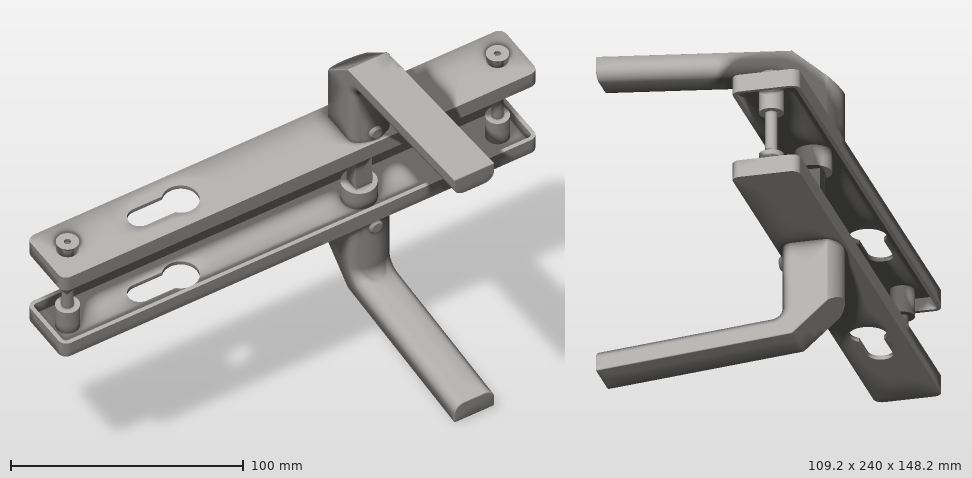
import cadquery as cq
import math


plate_length = 240.0
plate_width = 30.0
plate_height = 8.0
plate_corner_radius = 3.8
plate_wall = 2.0
plate_gap = 32.5
rim_z = plate_gap / 2
face_z = rim_z + plate_height
floor_z = face_z - plate_wall

post_diameter = 10.8
post_projection = 6.5
post_end_z = rim_z - post_projection
screw_y = 108.5

keyhole_y = -51.4
keyhole_radius = 8.2
keyhole_slot_width = 11.0
keyhole_bottom_y = -77.5

spindle_y = 38.6
spindle_side = 8.0
spindle_half_length = 33.5

overall_width = 109.2
overall_height = 148.3
tip_x = overall_width - plate_width / 2
tip_z = overall_height / 2
handle_width = 20.2
shank_radius = 13.5
nose_width = 15.0
shoulder_z = 49.0
bend_x = 7.0
bend_z = 66.7
arm_slope = math.atan2(tip_z - bend_z, tip_x - bend_x)
arm_height = 10.0
turn_angle = math.pi / 2 - arm_slope
elbow_z = 52.5
edge_rounding = 5.0
flank_x = 7.0
inner_x = flank_x + edge_rounding
edge_softening = 0.5

neck_diameter = 16.0
neck_projection = 3.5
neck_end_z = rim_z - neck_projection

shaft_diameter = 5.3
head_diameter = 10.0
head_height = 3.0
socket_size = 3.4
socket_depth = 1.5
screw_settings = [(screw_y, 3.8), (-screw_y, 4.5)]

grub_diameter = 6.5
grub_z = 28.8
grub_end_x = 15.0
grub_edge = 0.7


def cylinder(diameter, y, bottom_z, top_z):
    return (
        cq.Workplane("XY", origin=(0, y, bottom_z))
        .circle(diameter / 2)
        .extrude(top_z - bottom_z)
    )


def mirrored(body):
    return body.mirror("XY")


def make_keyhole():
    slot_end_y = keyhole_bottom_y + keyhole_slot_width / 2
    slot = (
        cq.Workplane("XY")
        .center(0, (keyhole_y + slot_end_y) / 2)
        .rect(keyhole_slot_width, keyhole_y - slot_end_y)
        .extrude(face_z)
    )
    slot_end = cylinder(keyhole_slot_width, slot_end_y, 0, face_z)
    return cylinder(2 * keyhole_radius, keyhole_y, 0, face_z).union(slot).union(slot_end)


def make_plate():
    """Tray opening towards Z = 0, with a hollow post for each screw."""
    plate = (
        cq.Workplane("XY", origin=(0, 0, rim_z))
        .rect(plate_width, plate_length)
        .extrude(plate_height)
        .edges("|Z")
        .fillet(plate_corner_radius)
    )
    hollow = (
        cq.Workplane("XY", origin=(0, 0, rim_z))
        .rect(plate_width - 2 * plate_wall, plate_length - 2 * plate_wall)
        .extrude(plate_height - plate_wall)
        .edges("|Z")
        .fillet(plate_corner_radius - plate_wall)
    )
    plate = plate.cut(hollow)
    for y, _ in screw_settings:
        plate = plate.union(cylinder(post_diameter, y, post_end_z, face_z))
        plate = plate.cut(cylinder(shaft_diameter, y, post_end_z, floor_z))
    plate = plate.cut(cylinder(neck_diameter, spindle_y, floor_z, face_z))
    return plate.cut(make_keyhole())


def make_countersunk_plate():
    """Plate whose screw holes run through and open out to seat the heads."""
    plate = make_plate()
    for y, _ in screw_settings:
        plate = plate.cut(cylinder(shaft_diameter, y, floor_z, face_z))
        plate = plate.cut(make_head(y, face_z))
    return plate


def make_head(y, top_z):
    return (
        cq.Workplane("XY", origin=(0, y, top_z - head_height))
        .circle(shaft_diameter / 2)
        .workplane(offset=head_height)
        .circle(head_diameter / 2)
        .loft()
    )


def make_screw(y, head_protrusion):
    top_z = face_z + head_protrusion
    shaft = cylinder(shaft_diameter, y, -floor_z, top_z - head_height)
    socket = (
        cq.Workplane("XY", origin=(0, y, top_z - socket_depth))
        .polygon(6, socket_size)
        .extrude(socket_depth)
    )
    return shaft.union(make_head(y, top_z)).cut(socket)


def make_grub_blank():
    return (
        cq.Workplane("YZ", origin=(spindle_side / 2, spindle_y, grub_z))
        .circle(grub_diameter / 2)
        .extrude(grub_end_x - spindle_side / 2)
    )


def make_grub_screw():
    return make_grub_blank().faces(">X").chamfer(grub_edge)


def make_spindle():
    return (
        cq.Workplane("XY", origin=(0, spindle_y, 0))
        .rect(spindle_side, spindle_side)
        .extrude(spindle_half_length, both=True)
    )


def underside_z(x):
    return bend_z - arm_height + (x - bend_x) * math.tan(arm_slope)


def elbow_radius(shank_x):
    """Radius that turns a vertical line at shank_x into the arm underside, from elbow_z up."""
    return (underside_z(shank_x) - elbow_z) / math.tan(turn_angle / 2)


def make_lever_bar():
    """Flat-sided bent bar: shank, sloped shoulder and arm, rounded inside the bend."""
    radius = elbow_radius(inner_x)
    centre_x = inner_x + radius
    half_turn = turn_angle / 2
    elbow_end = (
        centre_x - radius * math.cos(turn_angle),
        elbow_z + radius * math.sin(turn_angle),
    )
    elbow_middle = (
        centre_x - radius * math.cos(half_turn),
        elbow_z + radius * math.sin(half_turn),
    )
    bar = (
        cq.Workplane("XZ", origin=(0, spindle_y + handle_width / 2, 0))
        .moveTo(-shank_radius, face_z)
        .lineTo(-shank_radius, shoulder_z)
        .lineTo(bend_x, bend_z)
        .lineTo(tip_x, tip_z)
        .lineTo(tip_x, underside_z(tip_x))
        .lineTo(*elbow_end)
        .threePointArc(elbow_middle, (inner_x, elbow_z))
        .lineTo(inner_x, face_z)
        .close()
        .extrude(handle_width)
    )
    shank_middle_z = (face_z + elbow_z) / 2
    for side in (-1, 1):
        y = spindle_y + side * handle_width / 2
        inner_edge = bar.edges(cq.NearestToPointSelector((inner_x, y, shank_middle_z)))
        bar = inner_edge.fillet(edge_rounding)
    return bar


def soften_edges(bar):
    """Small rounding at the bend, along both sides of the shoulder and arm, and at the arm end."""
    shoulder_middle = ((bend_x - shank_radius) / 2, (shoulder_z + bend_z) / 2)
    arm_middle = ((bend_x + tip_x) / 2, (bend_z + tip_z) / 2)
    bend_edge = bar.edges(cq.NearestToPointSelector((bend_x, spindle_y, bend_z)))
    edges = bar.faces(">X").edges().add(bend_edge)
    for x, z in (shoulder_middle, arm_middle):
        for side in (-1, 1):
            y = spindle_y + side * handle_width / 2
            edges = edges.add(bar.edges(cq.NearestToPointSelector((x, y, z))))
    return edges.fillet(edge_softening)


def round_shank_back(bar):
    """Cut the -X side of the shank and shoulder to the round of the shank."""
    keep = cylinder(2 * shank_radius, spindle_y, face_z, tip_z)
    arm_space = (
        cq.Workplane("XY", origin=(0, spindle_y, face_z))
        .rect(tip_x, handle_width, centered=(False, True))
        .extrude(tip_z - face_z)
    )
    return bar.intersect(keep.union(arm_space))


def make_shank_nose():
    """Convex +X front of the shank, bent at the elbow until it sinks into the arm."""
    strip = (
        cq.Workplane("XY", origin=(flank_x, spindle_y, face_z))
        .rect(shank_radius - flank_x, nose_width, centered=(False, True))
        .extrude(elbow_z - face_z)
    )
    straight = cylinder(2 * shank_radius, spindle_y, face_z, elbow_z).intersect(strip)
    axis_x = shank_radius + elbow_radius(shank_radius)
    top_outline = straight.faces(">Z").val()
    bend = cq.Solid.revolve(
        top_outline,
        math.degrees(turn_angle),
        cq.Vector(axis_x, 0, elbow_z),
        cq.Vector(axis_x, 2.5, elbow_z),
    )
    return straight.union(cq.Workplane(bend))


def make_handle():
    """Lever with a neck through the plate, bored for the spindle and its grub screw."""
    handle = round_shank_back(soften_edges(make_lever_bar()))
    handle = handle.union(make_shank_nose())
    handle = handle.union(cylinder(neck_diameter, spindle_y, neck_end_z, face_z))
    return handle.cut(make_spindle()).cut(make_grub_blank())


upper_plate = make_countersunk_plate()
lower_plate = mirrored(make_plate())
upper_handle = make_handle()
lower_handle = mirrored(upper_handle)
upper_grub_screw = make_grub_screw()
lower_grub_screw = mirrored(upper_grub_screw)
spindle = make_spindle()
screws = [make_screw(y, protrusion).val() for y, protrusion in screw_settings]

result = cq.Compound.makeCompound(
    [
        upper_plate.val(),
        lower_plate.val(),
        upper_handle.val(),
        lower_handle.val(),
        upper_grub_screw.val(),
        lower_grub_screw.val(),
        spindle.val(),
        *screws,
    ]
)